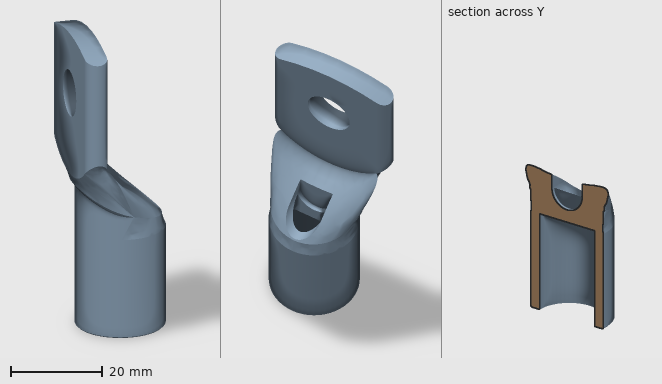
import cadquery as cq
import math


OVERALL_LENGTH = 69.0

BARREL_DIAMETER = 20.0
BORE_DIAMETER = 15.0
RIM_CHAMFER = 0.3
BARREL_BACK_TOP = 23.05
BARREL_FRONT_TOP = 32.65
SIDE_TOP = 28.3
SIDE_TOP_Y = 0.3
STEP_FOOT_Y = -2.5

PALM_WIDTH = 29.0
PALM_THICKNESS = 5.05
PALM_FRONT_Y = -11.5
PALM_CORNER_TOP = 66.3
PALM_CORNER_FOOT = 42.8
PALM_CENTRE_FOOT = 36.1
STUD_HOLE_DIAMETER = 10.5
STUD_HOLE_Z = 55.0

SHOULDER_CROWN = (9.1, 25.9)
BACK_RIDGE = (2.4, 31.3)
BACK_FLANK = (12.7, -4.0, 37.25)
LIP_CROWN = (-11.1, 34.2)
LIP_FLANK = (8.3, -7.7, 31.95)

WINDOW_WIDTH = 8.15
WINDOW_FOOT_Z = 26.15
WINDOW_FRONT_Y = -1.1
CAVITY_PEAK_Z = 30.0
CAVITY_BACK_Y = 6.55

PROFILE_OVERSHOOT = 0.7
SEWING_TOLERANCE = 0.01
FILL_DEGREE = 2

barrel_radius = BARREL_DIAMETER / 2
bore_radius = BORE_DIAMETER / 2
palm_centre_y = PALM_FRONT_Y + PALM_THICKNESS / 2
window_radius = WINDOW_WIDTH / 2
side_top_x = math.sqrt(barrel_radius**2 - SIDE_TOP_Y**2)


def arc_radius(half_chord, rise):
    """Radius of the arc with the given half chord and rise."""
    return (half_chord**2 + rise**2) / (2 * rise)


def arc_drop(radius, x):
    """Distance an arc has fallen from its crown at sideways offset x."""
    return radius - math.sqrt(radius**2 - x**2)


def extrude_along_y(profile):
    """Prism through the whole part from a profile drawn on the XZ plane."""
    return profile.extrude(OVERALL_LENGTH, both=True)


def make_barrel():
    """Solid barrel with an arched front rim, a leaning step and a flat back rim."""
    radius = arc_radius(side_top_x, BARREL_FRONT_TOP - SIDE_TOP)
    half_width = barrel_radius + PROFILE_OVERSHOOT
    shoulder_z = BARREL_FRONT_TOP - arc_drop(radius, half_width)
    blank = (
        cq.Workplane("XY")
        .circle(barrel_radius)
        .extrude(OVERALL_LENGTH)
        .rotate((0, 0, 0), (0, 0, 1), 90)
        .faces("<Z")
        .chamfer(RIM_CHAMFER)
    )
    arch = extrude_along_y(
        cq.Workplane("XZ")
        .moveTo(-half_width, 0)
        .lineTo(-half_width, shoulder_z)
        .threePointArc((0, BARREL_FRONT_TOP), (half_width, shoulder_z))
        .lineTo(half_width, 0)
        .close()
    )
    lean = (SIDE_TOP_Y - STEP_FOOT_Y) / (SIDE_TOP - BARREL_BACK_TOP)
    step_head_y = STEP_FOOT_Y + lean * (OVERALL_LENGTH - BARREL_BACK_TOP)
    back_clearance = (
        cq.Workplane("YZ")
        .moveTo(STEP_FOOT_Y, BARREL_BACK_TOP)
        .lineTo(step_head_y, OVERALL_LENGTH)
        .lineTo(OVERALL_LENGTH, OVERALL_LENGTH)
        .lineTo(OVERALL_LENGTH, BARREL_BACK_TOP)
        .close()
        .extrude(BARREL_DIAMETER, both=True)
    )
    return blank.intersect(arch).cut(back_clearance)


def make_palm():
    """Round-edged palm with a crowned top and a bowed lower end."""
    half_width = PALM_WIDTH / 2
    top_rise = OVERALL_LENGTH - PALM_CORNER_TOP
    foot_rise = PALM_CORNER_FOOT - PALM_CENTRE_FOOT
    reach = half_width + PROFILE_OVERSHOOT
    top_z = OVERALL_LENGTH - arc_drop(arc_radius(half_width, top_rise), reach)
    foot_z = PALM_CENTRE_FOOT + arc_drop(arc_radius(half_width, foot_rise), reach)
    outline = extrude_along_y(
        cq.Workplane("XZ")
        .moveTo(-reach, top_z)
        .threePointArc((0, OVERALL_LENGTH), (reach, top_z))
        .lineTo(reach, foot_z)
        .threePointArc((0, PALM_CENTRE_FOOT), (-reach, foot_z))
        .close()
    )
    bar = (
        cq.Workplane("XY")
        .center(0, palm_centre_y)
        .slot2D(PALM_WIDTH, PALM_THICKNESS)
        .extrude(OVERALL_LENGTH)
    )
    return bar.intersect(outline)


def arch_edge(crown, side_point):
    """Circular arc from -X to +X, from side to side over the crown on the plane X = 0."""
    x, y, z = side_point
    return cq.Edge.makeThreePointArc(cq.Vector(-x, y, z), cq.Vector(0, *crown), cq.Vector(x, y, z))


def by_x(edges):
    """Edges in order from -X to +X."""
    return sorted(edges, key=lambda edge: edge.Center().x)


def make_lip_edge():
    """Crease across the front of the neck, meeting the barrel rim at both side tops."""
    flank_x, flank_y, flank_z = LIP_FLANK
    points = [
        cq.Vector(-side_top_x, SIDE_TOP_Y, SIDE_TOP),
        cq.Vector(-flank_x, flank_y, flank_z),
        cq.Vector(0, *LIP_CROWN),
        cq.Vector(flank_x, flank_y, flank_z),
        cq.Vector(side_top_x, SIDE_TOP_Y, SIDE_TOP),
    ]
    return cq.Edge.makeSpline(points)


def make_body():
    """Barrel and palm joined by the neck, sewn face to face into one solid."""
    shapes = cq.occ_impl.shapes
    barrel_faces = make_barrel().faces().vals()
    palm_faces = make_palm().faces().vals()

    wall = max(barrel_faces, key=lambda face: face.Area())
    foot = min(palm_faces, key=lambda face: face.Center().z)
    outer_faces = [face for face in barrel_faces if face.Center().z <= wall.Center().z]
    outer_faces += [face for face in palm_faces if face is not foot]

    rim_edges = [edge for edge in wall.Edges() if edge.Center().z > wall.Center().z]
    front_rim = min(rim_edges, key=lambda edge: edge.Center().y)
    back_rims = by_x([edge for edge in rim_edges if edge.geomType() == "CIRCLE"])
    steps = by_x([edge for edge in rim_edges if edge.geomType() == "ELLIPSE"])
    front_foot = min(foot.Edges(), key=lambda edge: edge.Center().y)
    back_foot = max(foot.Edges(), key=lambda edge: edge.Center().y)
    left_foot, *_, right_foot = by_x(foot.Edges())

    shoulder = arch_edge(SHOULDER_CROWN, (side_top_x, SIDE_TOP_Y, SIDE_TOP))
    shoulder_start, shoulder_end = shoulder.bounds()
    shoulder_middle = (shoulder_start + shoulder_end) / 2
    shoulder_halves = by_x(
        [shoulder.trim(shoulder_start, shoulder_middle), shoulder.trim(shoulder_middle, shoulder_end)]
    )
    crown_line = cq.Edge.makeLine(
        cq.Vector(0, barrel_radius, BARREL_BACK_TOP), cq.Vector(0, *SHOULDER_CROWN)
    )

    lip = make_lip_edge()
    front = shapes.loft([front_foot, lip])
    lip_underside = shapes.loft([lip, front_rim])
    back = shapes.loft([back_foot, arch_edge(BACK_RIDGE, BACK_FLANK), shoulder])
    neck_faces = [front, lip_underside, back]

    front_flanks = by_x(front.Edges())
    back_flanks = by_x(back.Edges())
    for side, foot_edge in ((0, left_foot), (-1, right_foot)):
        flank = [foot_edge, front_flanks[side], back_flanks[side]]
        band = [back_rims[side], steps[side], shoulder_halves[side], crown_line]
        neck_faces.append(cq.Face.makeNSidedSurface(flank, [], degree=FILL_DEGREE))
        neck_faces.append(cq.Face.makeNSidedSurface(band, [], degree=FILL_DEGREE))

    skin = shapes.shell(*outer_faces, *neck_faces, tol=SEWING_TOLERANCE)
    return cq.Workplane(cq.Solid.makeSolid(skin))


def make_cavity():
    """Bore, ending under the neck in a sloping roof that leaves the front half solid."""
    roof_slope = (CAVITY_PEAK_Z - WINDOW_FOOT_Z) / CAVITY_BACK_Y
    roof = (
        cq.Workplane("YZ")
        .moveTo(-bore_radius, 0)
        .lineTo(-bore_radius, BARREL_BACK_TOP)
        .lineTo(0, BARREL_BACK_TOP)
        .lineTo(0, CAVITY_PEAK_Z)
        .lineTo(bore_radius, CAVITY_PEAK_Z - roof_slope * bore_radius)
        .lineTo(bore_radius, 0)
        .close()
        .extrude(BARREL_DIAMETER, both=True)
    )
    return cq.Workplane("XY").circle(bore_radius).extrude(OVERALL_LENGTH).intersect(roof)


def make_window():
    """Round-bottomed slot running from the back of the neck to its blind front end."""
    return (
        cq.Workplane("XZ", origin=(0, WINDOW_FRONT_Y, WINDOW_FOOT_Z + window_radius))
        .moveTo(-window_radius, 0)
        .threePointArc((0, -window_radius), (window_radius, 0))
        .lineTo(window_radius, OVERALL_LENGTH)
        .lineTo(-window_radius, OVERALL_LENGTH)
        .close()
        .extrude(-BARREL_DIAMETER)
    )


stud_hole = extrude_along_y(cq.Workplane("XZ").center(0, STUD_HOLE_Z).circle(STUD_HOLE_DIAMETER / 2))

result = make_body().cut(make_cavity()).cut(make_window()).cut(stud_hole)